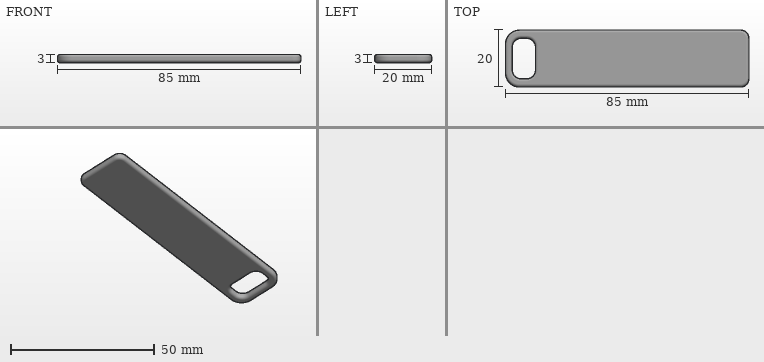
import cadquery as cq

LENGTH = 85.0
WIDTH = 20.0
THICKNESS = 3.0

LOOP_END_RADIUS = 5.0
PLAIN_END_RADIUS = 3.0
EDGE_FILLET = 1.0

OPENING_LENGTH = 8.0
OPENING_WIDTH = 14.0
OPENING_RADIUS = 3.0
OPENING_MARGIN = 2.5
OPENING_X = -LENGTH / 2 + OPENING_MARGIN + OPENING_LENGTH / 2


def make_plate():
    """Rectangular plate with larger plan corners at the loop end."""
    plate = cq.Workplane("XY").box(LENGTH, WIDTH, THICKNESS, centered=(True, True, False))
    plate = plate.faces("<X").edges("|Z").fillet(LOOP_END_RADIUS)
    return plate.faces(">X").edges("|Z").fillet(PLAIN_END_RADIUS)


def make_opening():
    """Rounded rectangular cutter for the strap opening."""
    cutter = cq.Workplane("XY").center(OPENING_X, 0)
    cutter = cutter.rect(OPENING_LENGTH, OPENING_WIDTH).extrude(THICKNESS)
    return cutter.edges("|Z").fillet(OPENING_RADIUS)


tag = make_plate().cut(make_opening())

result = tag.faces("<Z or >Z").edges().fillet(EDGE_FILLET)